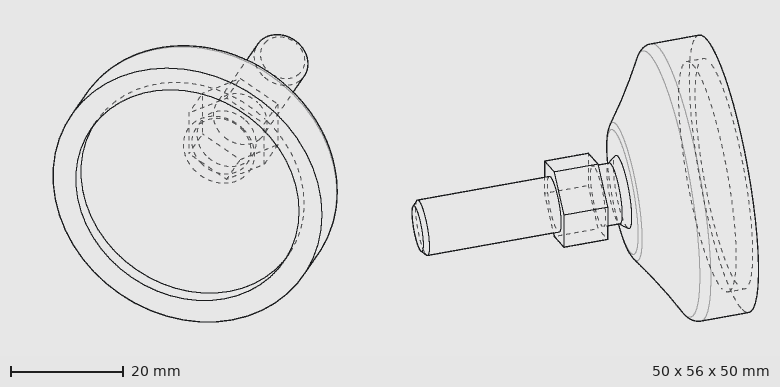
import cadquery as cq
import math

total_length = 56.0

base_diameter = 50.0
base_corner_height = 9.9
base_height = 18.55
base_top_radius = 11.9
slope_curve_radius = 100.25
base_fillet = 2.0

recess_diameter = 41.5
recess_depth = 3.0

neck_diameter = 11.0
ball_radius = 7.5
ball_exposed_radius = 6.6
ball_top = 20.0

hex_bottom = 23.0
hex_length = 8.0
hex_across_flats = 14.0
hex_across_corners = hex_across_flats / math.cos(math.pi / 6)

stud_diameter = 10.0
stud_chamfer = 0.9


def axial_cylinder(diameter, start, end):
    """Cylinder on the Y axis between two heights."""
    return cq.Workplane("XZ", origin=(0, start, 0)).circle(diameter / 2).extrude(start - end)


def make_base():
    """Round base with a hollow slope, rounded at both ends, and a recessed underside."""
    rim_radius = base_diameter / 2
    profile = (
        cq.Workplane("XY")
        .lineTo(rim_radius, 0)
        .lineTo(rim_radius, base_corner_height)
        .radiusArc((base_top_radius, base_height), slope_curve_radius)
        .lineTo(0, base_height)
        .close()
    )
    body = profile.revolve(360, (0, 0, 0), (0, 1, 0))
    for ring_height in (base_corner_height, base_height):
        ring_center = (0, ring_height, 0)
        body = body.edges(cq.NearestToPointSelector(ring_center)).fillet(base_fillet)
    return body.cut(axial_cylinder(recess_diameter, 0, recess_depth))


def make_neck():
    """Neck with the exposed zone of its ball widening into the base."""
    neck_radius = neck_diameter / 2
    profile = (
        cq.Workplane("XY", origin=(0, base_height, 0))
        .lineTo(ball_exposed_radius, 0)
        .radiusArc((neck_radius, ball_top - base_height), -ball_radius)
        .lineTo(neck_radius, hex_bottom - base_height)
        .lineTo(0, hex_bottom - base_height)
        .close()
    )
    return profile.revolve(360, (0, 0, 0), (0, 1, 0))


def make_hex():
    """Wrench hex with corners pointing along Z."""
    return (
        cq.Workplane("XZ", origin=(0, hex_bottom, 0))
        .transformed(rotate=(0, 0, 90))
        .polygon(6, hex_across_corners)
        .extrude(-hex_length)
    )


def make_stud():
    """Plain stud with a chamfered tip."""
    stud = axial_cylinder(stud_diameter, hex_bottom + hex_length, total_length)
    return stud.faces(">Y").chamfer(stud_chamfer)


result = make_base().union(make_neck()).union(make_hex()).union(make_stud())